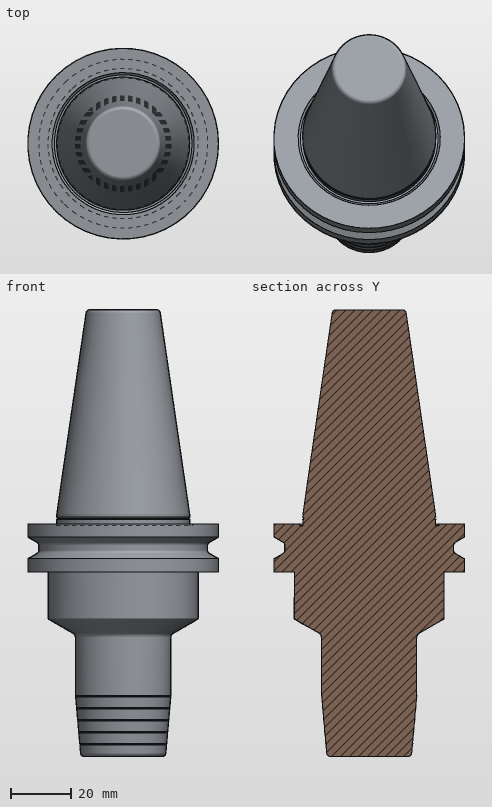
import cadquery as cq

TOTAL_HEIGHT = 148.9
GAUGE_Z = 80.7
FLANGE_TOP_Z = 77.6
FLANGE_HEIGHT = 16.1
RIM_HEIGHT = 4.5
BODY_BOTTOM_Z = 45.9
SHANK_BOTTOM_Z = 20.4

GAUGE_RADIUS = 22.2
FLANGE_RADIUS = 31.79
GROOVE_FLOOR_RADIUS = 28.1
BODY_RADIUS = 25.0
SHANK_RADIUS = 16.0
NOSE_RADIUS = 14.1

TAPER_RATIO = 7 / 24
STEEP_RATIO = 3 ** 0.5

TOP_FILLET = 1.3
NOSE_FILLET = 1.3
GROOVE_FILLET = 1.0
BODY_FILLET = 0.6
SHANK_FILLET = 1.3

RELIEF_TOP_Z = 79.8
RELIEF_WIDTH = 0.9
RELIEF_DEPTH = 0.3
FACE_GROOVE_WIDTH = 1.5
FACE_GROOVE_DEPTH = 0.6
NOSE_GROOVE_COUNT = 5
NOSE_GROOVE_PITCH = 4.0
NOSE_GROOVE_WIDTH = 0.5
NOSE_GROOVE_DEPTH = 0.1

FLANGE_BOTTOM_Z = FLANGE_TOP_Z - FLANGE_HEIGHT
TOP_RADIUS = GAUGE_RADIUS - (TOTAL_HEIGHT - GAUGE_Z) * TAPER_RATIO / 2


def revolve_profile(points):
    """Turn a closed (radius, height) outline about the Z axis."""
    return cq.Workplane("XZ").polyline(points).close().revolve(360, (0, 0), (0, 1))


def circle_at(z, radius):
    """Selector for the circular edge at one height and radius."""
    margin = 0.07
    return cq.selectors.BoxSelector(
        (-radius - margin, -radius - margin, z - margin),
        (radius + margin, radius + margin, z + margin),
        boundingbox=True,
    )


def make_blank():
    """Taper, flange, body, shank and nose, with their rounded edges."""
    groove_side_height = (FLANGE_RADIUS - GROOVE_FLOOR_RADIUS) / STEEP_RATIO
    upper_rim_z = FLANGE_TOP_Z - RIM_HEIGHT
    lower_rim_z = FLANGE_BOTTOM_Z + RIM_HEIGHT
    floor_top_z = upper_rim_z - groove_side_height
    floor_bottom_z = lower_rim_z + groove_side_height
    shank_top_z = BODY_BOTTOM_Z - (BODY_RADIUS - SHANK_RADIUS) / STEEP_RATIO

    blank = revolve_profile([
        (0, 0),
        (NOSE_RADIUS, 0),
        (SHANK_RADIUS, SHANK_BOTTOM_Z),
        (SHANK_RADIUS, shank_top_z),
        (BODY_RADIUS, BODY_BOTTOM_Z),
        (BODY_RADIUS, FLANGE_BOTTOM_Z),
        (FLANGE_RADIUS, FLANGE_BOTTOM_Z),
        (FLANGE_RADIUS, lower_rim_z),
        (GROOVE_FLOOR_RADIUS, floor_bottom_z),
        (GROOVE_FLOOR_RADIUS, floor_top_z),
        (FLANGE_RADIUS, upper_rim_z),
        (FLANGE_RADIUS, FLANGE_TOP_Z),
        (GAUGE_RADIUS, FLANGE_TOP_Z),
        (GAUGE_RADIUS, GAUGE_Z),
        (TOP_RADIUS, TOTAL_HEIGHT),
        (0, TOTAL_HEIGHT),
    ])
    roundings = [
        (TOTAL_HEIGHT, TOP_RADIUS, TOP_FILLET),
        (floor_top_z, GROOVE_FLOOR_RADIUS, GROOVE_FILLET),
        (floor_bottom_z, GROOVE_FLOOR_RADIUS, GROOVE_FILLET),
        (BODY_BOTTOM_Z, BODY_RADIUS, BODY_FILLET),
        (shank_top_z, SHANK_RADIUS, SHANK_FILLET),
        (0, NOSE_RADIUS, NOSE_FILLET),
    ]
    for z, edge_radius, fillet_radius in roundings:
        blank = blank.edges(circle_at(z, edge_radius)).fillet(fillet_radius)
    return blank


def relief_groove():
    """Shallow V groove just below the large end of the taper."""
    return revolve_profile([
        (GAUGE_RADIUS, RELIEF_TOP_Z),
        (GAUGE_RADIUS - RELIEF_DEPTH, RELIEF_TOP_Z - RELIEF_WIDTH / 2),
        (GAUGE_RADIUS, RELIEF_TOP_Z - RELIEF_WIDTH),
    ])


def face_groove():
    """Groove in the flange top face at the foot of the taper, outer wall sloped."""
    return revolve_profile([
        (GAUGE_RADIUS, FLANGE_TOP_Z),
        (GAUGE_RADIUS, FLANGE_TOP_Z - FACE_GROOVE_DEPTH),
        (GAUGE_RADIUS + FACE_GROOVE_WIDTH / 2, FLANGE_TOP_Z - FACE_GROOVE_DEPTH),
        (GAUGE_RADIUS + FACE_GROOVE_WIDTH, FLANGE_TOP_Z),
    ])


def nose_radius_at(z):
    return NOSE_RADIUS + (SHANK_RADIUS - NOSE_RADIUS) * z / SHANK_BOTTOM_Z


def nose_groove(top_z):
    """Fine V groove around the tapered nose."""
    bottom_z = top_z - NOSE_GROOVE_WIDTH
    middle_z = (top_z + bottom_z) / 2
    return revolve_profile([
        (nose_radius_at(top_z), top_z),
        (nose_radius_at(middle_z) - NOSE_GROOVE_DEPTH, middle_z),
        (nose_radius_at(bottom_z), bottom_z),
    ])


result = make_blank().cut(relief_groove()).cut(face_groove())
for index in range(NOSE_GROOVE_COUNT):
    result = result.cut(nose_groove(SHANK_BOTTOM_Z - index * NOSE_GROOVE_PITCH))